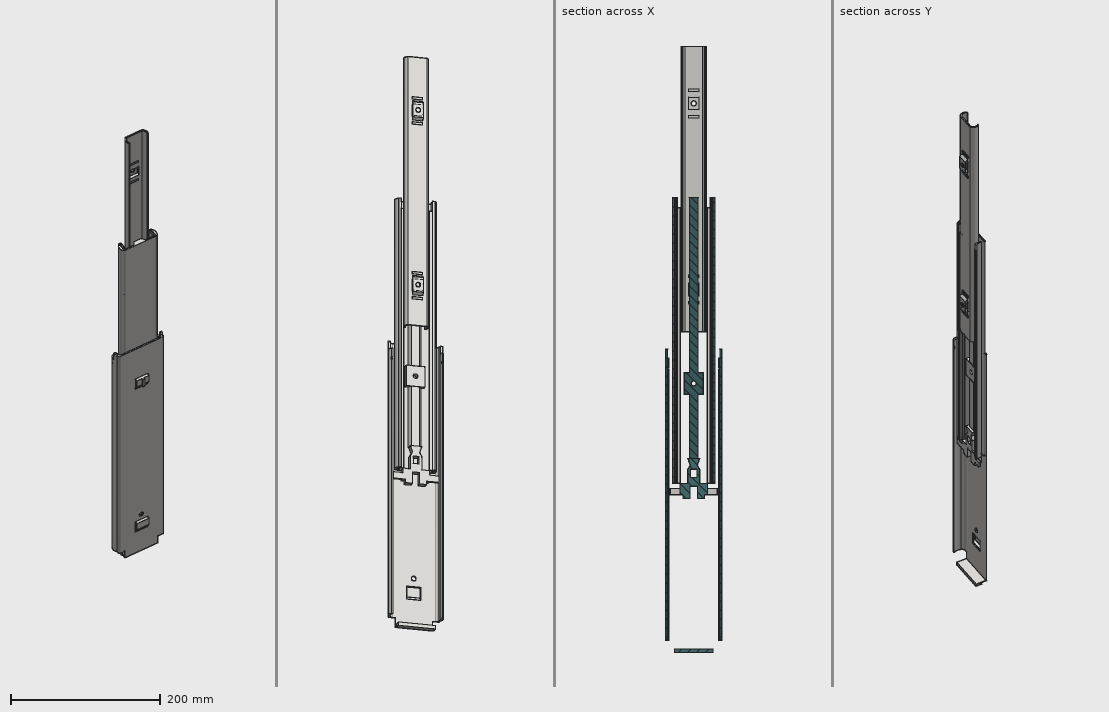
import cadquery as cq


SHEET = 2.0
CUT_LENGTH = 81.0
HOLE_DIAMETER = 6.5

OUTER_TOP = 407.0
OUTER_END = 16.0
OUTER_FRONT = 6.5
OUTER_BACK = 23.5
OUTER_HALF = 38.0
OUTER_NECK = 36.0
OUTER_WEB_HALF = 30.0
OUTER_LIP = 33.0
OUTER_RACE = 35.0
BULGE_BACK = 19.0
LIP_NOTCH = 12.0
LIP_NOTCH_DEPTH = 7.0
DIMPLE_Z = 381.0
DIMPLE_SIZE = 2.5

FOOT_HALF = 26.0
FOOT_TOP = 5.0
FOOT_HEM = 9.0

OUTER_HOOK_HALF = 10.0
OUTER_HOOK_REACH = 4.0
OUTER_HOOK_LOWS = (328.0, 45.0)
OUTER_HOOK_TALL = 20.0
OUTER_HOOK_SLOPE = 8.0
NIB_HALF = 2.0
NIB_REACH = 2.5
NIB_TALL = 15.0
OUTER_HOLE_Z = 75.0

MIDDLE_TOP = 610.5
MIDDLE_END = 227.0
MIDDLE_FRONT = 6.5
MIDDLE_BACK = 21.0
MIDDLE_HALF = 28.5
MIDDLE_CHANNEL = 22.0
MIDDLE_LIP = 18.0
FOLD_BACK = 15.5
MIDDLE_FACE_HALF = 25.0
MIDDLE_BEND = 4.0
MIDDLE_LIP_CUT = 14.0

BEAD_ROOT = 9.0
BEAD_CREST = 6.0
BEAD_RISE = 5.0
BEAD_END = 260.0

PAD_HALF = 13.0
PAD_LOW = 346.0
PAD_HIGH = 375.5
PAD_RISE = 6.0

INNER_TOP = 813.0
INNER_END = 430.0
INNER_FRONT = 4.0
INNER_BACK = 16.0
INNER_HALF = 17.0
INNER_WEB_HALF = 13.0
INNER_EDGE_HALF = 15.5
INNER_HOOK_CENTRES = (736.0, 487.0)
INNER_HOOK_HALF = 7.0
INNER_HOOK_TALL = 28.0
INNER_HOOK_BEVEL = 3.0
INNER_HOOK_SKIN = 2.0
INNER_HOOK_END = 6.0
GROOVE_TALL = 3.0
GROOVE_DEPTH = 1.0
GROOVE_OFFSET = 18.0

BUMPER_FRONT = 10.5
WING_THICK = 3.0
WING_HALF = 32.0
WING_LOW = 211.0
WING_HIGH = 220.0
SHOULDER_HALF = 19.0
BUMPER_FOOT_HALF = 15.0
BUMPER_LOW = 206.5
BUMPER_SLIT_HALF = 5.0
BUMPER_SLIT_HIGH = 223.0
TONGUE_HALF = 8.0
TONGUE_WAIST = 251.0
TONGUE_WAIST_HALF = 5.0
TONGUE_WINDOW_HALF = 4.0
TONGUE_WINDOW_LOW = 235.0
TONGUE_WINDOW_HIGH = 245.5


def box(x_range, y_range, z_range):
    """Box between the given limits along each axis."""
    (x0, x1), (y0, y1), (z0, z1) = x_range, y_range, z_range
    return cq.Workplane("XY").box(x1 - x0, y1 - y0, z1 - z0, centered=False).translate((x0, y0, z0))


def both_sides(solid):
    """The solid together with its mirror image across Y = 0."""
    return solid.union(solid.mirror("XZ"))


def hole(z):
    """Cutter for a round hole along X, on the centre line."""
    return cq.Workplane("YZ").center(0, z).circle(HOLE_DIAMETER / 2).extrude(CUT_LENGTH)


def prism(points, low, high):
    """Profile in X and Y, extruded from low to high."""
    return cq.Workplane("XY").workplane(offset=low).polyline(points).close().extrude(high - low)


def side_prism(points, half):
    """Profile in X and Z, extruded to the half width on either side of Y = 0."""
    return cq.Workplane("XZ").polyline(points).close().extrude(half, both=True)


def outer_section():
    """Closed C section: web, inside bends, and flanges that bulge outward around a curved race."""
    inside = OUTER_BACK - SHEET
    flange_inside = OUTER_NECK - SHEET
    bend = flange_inside - OUTER_WEB_HALF
    race_middle = (OUTER_FRONT + inside - bend) / 2
    bulge_middle = (OUTER_FRONT + BULGE_BACK) / 2
    wall = (
        cq.Workplane("XY").workplane(offset=OUTER_END)
        .moveTo(OUTER_BACK, 0)
        .lineTo(OUTER_BACK, OUTER_NECK - SHEET)
        .radiusArc((OUTER_BACK - SHEET, OUTER_NECK), -SHEET)
        .lineTo(BULGE_BACK, OUTER_NECK)
        .threePointArc((bulge_middle, OUTER_HALF), (OUTER_FRONT, OUTER_NECK))
        .lineTo(OUTER_FRONT, OUTER_LIP)
        .threePointArc((race_middle, OUTER_RACE), (inside - bend, flange_inside))
        .radiusArc((inside, OUTER_WEB_HALF), bend)
        .lineTo(inside, 0)
        .close()
        .extrude(OUTER_TOP - OUTER_END)
    )
    return both_sides(wall)


def outer_hook(low):
    """Hook lanced out of the outer rail's back, with a sloped lower end."""
    high = low + OUTER_HOOK_TALL
    tip = OUTER_BACK + OUTER_HOOK_REACH
    return side_prism(
        [(OUTER_BACK, low), (tip, low + OUTER_HOOK_SLOPE), (tip, high), (OUTER_BACK, high)],
        OUTER_HOOK_HALF,
    )


def outer_hook_window(low):
    """Opening through the web behind a hook, leaving the hook hanging from its upper end."""
    return box(
        (OUTER_BACK - SHEET, OUTER_BACK + OUTER_HOOK_REACH - SHEET),
        (-OUTER_HOOK_HALF, OUTER_HOOK_HALF),
        (low, low + OUTER_HOOK_TALL - SHEET),
    )


def foot():
    """Web tongue below the flanges, turned forward into a foot with a thickened front edge."""
    across = (-FOOT_HALF, FOOT_HALF)
    tongue = box((OUTER_BACK - SHEET, OUTER_BACK), across, (FOOT_TOP - SHEET, OUTER_END))
    plate = box((OUTER_FRONT, OUTER_BACK), across, (FOOT_TOP - SHEET, FOOT_TOP))
    hem = box((OUTER_FRONT, OUTER_FRONT + FOOT_HEM), across, (0, FOOT_TOP))
    return tongue.union(plate).union(hem)


def make_outer_rail():
    rail = outer_section()
    notch = box(
        (OUTER_FRONT, OUTER_FRONT + LIP_NOTCH_DEPTH),
        (OUTER_LIP, OUTER_HALF),
        (OUTER_TOP - LIP_NOTCH, OUTER_TOP),
    )
    dimple = box(
        (OUTER_FRONT, OUTER_FRONT + SHEET),
        (OUTER_NECK - DIMPLE_SIZE, OUTER_NECK),
        (DIMPLE_Z - DIMPLE_SIZE / 2, DIMPLE_Z + DIMPLE_SIZE / 2),
    )
    rail = rail.cut(both_sides(notch)).cut(both_sides(dimple))
    rail = rail.union(foot())
    for low in OUTER_HOOK_LOWS:
        rail = rail.union(outer_hook(low)).cut(outer_hook_window(low))
    tip = OUTER_BACK + OUTER_HOOK_REACH
    upper_hook_top = OUTER_HOOK_LOWS[0] + OUTER_HOOK_TALL
    nib = box(
        (tip - SHEET, tip + NIB_REACH),
        (-NIB_HALF, NIB_HALF),
        (upper_hook_top - NIB_TALL, upper_hook_top),
    )
    return rail.union(nib).cut(hole(OUTER_HOLE_Z))


def middle_section():
    """Channel with double walls: web, bowed outer wall, front face and folded inner wall with a lip."""
    wall_middle = (MIDDLE_FRONT + MIDDLE_BACK - MIDDLE_BEND) / 2
    half_block = (
        cq.Workplane("XY").workplane(offset=MIDDLE_END)
        .moveTo(MIDDLE_BACK, 0)
        .lineTo(MIDDLE_BACK, MIDDLE_HALF - MIDDLE_BEND)
        .radiusArc((MIDDLE_BACK - MIDDLE_BEND, MIDDLE_HALF), -MIDDLE_BEND)
        .threePointArc((wall_middle, MIDDLE_HALF), (MIDDLE_FRONT, MIDDLE_FACE_HALF))
        .lineTo(MIDDLE_FRONT, 0)
        .close()
        .extrude(MIDDLE_TOP - MIDDLE_END)
    )
    channel = box(
        (MIDDLE_FRONT, MIDDLE_BACK - SHEET), (-MIDDLE_CHANNEL, MIDDLE_CHANNEL), (MIDDLE_END, MIDDLE_TOP)
    )
    fold_gap = box(
        (MIDDLE_FRONT + SHEET, MIDDLE_BACK - SHEET),
        (MIDDLE_CHANNEL + SHEET, MIDDLE_FACE_HALF),
        (MIDDLE_END, MIDDLE_TOP),
    )
    below_fold = box(
        (FOLD_BACK, MIDDLE_BACK - SHEET),
        (MIDDLE_CHANNEL, MIDDLE_CHANNEL + SHEET),
        (MIDDLE_END, MIDDLE_TOP),
    )
    lip = box(
        (MIDDLE_FRONT + SHEET, MIDDLE_FRONT + 2 * SHEET),
        (MIDDLE_LIP, MIDDLE_CHANNEL),
        (MIDDLE_END, MIDDLE_TOP - MIDDLE_LIP_CUT),
    )
    section = both_sides(half_block).cut(channel).cut(both_sides(fold_gap)).cut(both_sides(below_fold))
    return section.union(both_sides(lip))


def bead():
    """Raised trapezoid running along the web, from the bumper's tongue to the top."""
    web_front = MIDDLE_BACK - SHEET
    crest_front = web_front - BEAD_RISE
    points = [
        (web_front, -BEAD_ROOT),
        (crest_front, -BEAD_CREST),
        (crest_front, BEAD_CREST),
        (web_front, BEAD_ROOT),
    ]
    return prism(points, BEAD_END, MIDDLE_TOP)


def make_middle_rail():
    web_front = MIDDLE_BACK - SHEET
    rail = middle_section().union(bead())
    pad = box((web_front - PAD_RISE, MIDDLE_BACK), (-PAD_HALF, PAD_HALF), (PAD_LOW, PAD_HIGH))
    return rail.union(pad).cut(hole((PAD_LOW + PAD_HIGH) / 2))


def inner_hook(centre):
    """Low bridge with bevelled ends, standing forward of the inner rail's web."""
    half = INNER_HOOK_TALL / 2
    crest = half - INNER_HOOK_BEVEL
    points = [
        (INNER_FRONT, centre - half),
        (0, centre - crest),
        (0, centre + crest),
        (INNER_FRONT, centre + half),
    ]
    return side_prism(points, INNER_HOOK_HALF)


def hook_tunnel(centre):
    """Opening under a hook, from side to side and back through the web."""
    half = INNER_HOOK_TALL / 2 - INNER_HOOK_END
    return box(
        (INNER_HOOK_SKIN, INNER_FRONT + SHEET),
        (-INNER_HOOK_HALF, INNER_HOOK_HALF),
        (centre - half, centre + half),
    )


def hook_groove(z):
    """Shallow groove across the inner rail's web."""
    return box(
        (INNER_FRONT, INNER_FRONT + GROOVE_DEPTH),
        (-INNER_HOOK_HALF, INNER_HOOK_HALF),
        (z - GROOVE_TALL / 2, z + GROOVE_TALL / 2),
    )


def inner_section():
    """Channel whose flanges bow outward in an arc between the web and the back edges."""
    middle = (INNER_FRONT + INNER_BACK) / 2
    wall = (
        cq.Workplane("XY").workplane(offset=INNER_END)
        .moveTo(INNER_FRONT, 0)
        .lineTo(INNER_FRONT, INNER_WEB_HALF)
        .threePointArc((middle, INNER_HALF), (INNER_BACK, INNER_EDGE_HALF))
        .lineTo(INNER_BACK, INNER_EDGE_HALF - SHEET)
        .threePointArc((middle, INNER_HALF - SHEET), (INNER_FRONT + SHEET, INNER_WEB_HALF - SHEET / 2))
        .lineTo(INNER_FRONT + SHEET, 0)
        .close()
        .extrude(INNER_TOP - INNER_END)
    )
    return both_sides(wall)


def make_inner_rail():
    rail = inner_section()
    for centre in INNER_HOOK_CENTRES:
        rail = rail.union(inner_hook(centre)).cut(hook_tunnel(centre)).cut(hole(centre))
        for z in (centre - GROOVE_OFFSET, centre + GROOVE_OFFSET):
            rail = rail.cut(hook_groove(z))
    return rail


def make_bumper():
    """Plate with two wings below the middle rail and a tongue lying on the rail's web."""
    wing_back = BUMPER_FRONT + WING_THICK
    web_front = MIDDLE_BACK - SHEET
    body = box((BUMPER_FRONT, web_front), (-SHOULDER_HALF, SHOULDER_HALF), (WING_LOW, MIDDLE_END))
    wings = box((BUMPER_FRONT, wing_back), (-WING_HALF, WING_HALF), (WING_LOW, WING_HIGH))
    toe = box((BUMPER_FRONT, web_front), (-BUMPER_FOOT_HALF, BUMPER_FOOT_HALF), (BUMPER_LOW, WING_LOW))
    slit = box(
        (BUMPER_FRONT, web_front), (-BUMPER_SLIT_HALF, BUMPER_SLIT_HALF), (BUMPER_LOW, BUMPER_SLIT_HIGH)
    )
    outline = [
        (-TONGUE_HALF, MIDDLE_END),
        (-TONGUE_HALF, TONGUE_WINDOW_HIGH),
        (-TONGUE_WAIST_HALF, TONGUE_WAIST),
        (-TONGUE_HALF, BEAD_END),
        (TONGUE_HALF, BEAD_END),
        (TONGUE_WAIST_HALF, TONGUE_WAIST),
        (TONGUE_HALF, TONGUE_WINDOW_HIGH),
        (TONGUE_HALF, MIDDLE_END),
    ]
    tongue = (
        cq.Workplane("YZ").workplane(offset=BUMPER_FRONT).polyline(outline).close()
        .extrude(web_front - BUMPER_FRONT)
    )
    window = box(
        (BUMPER_FRONT, web_front),
        (-TONGUE_WINDOW_HALF, TONGUE_WINDOW_HALF),
        (TONGUE_WINDOW_LOW, TONGUE_WINDOW_HIGH),
    )
    return body.union(wings).union(toe).union(tongue).cut(slit).cut(window)


outer_rail = make_outer_rail()
middle_rail = make_middle_rail()
inner_rail = make_inner_rail()
bumper = make_bumper()

result = cq.Compound.makeCompound([
    outer_rail.val(),
    middle_rail.val(),
    inner_rail.val(),
    bumper.val(),
])